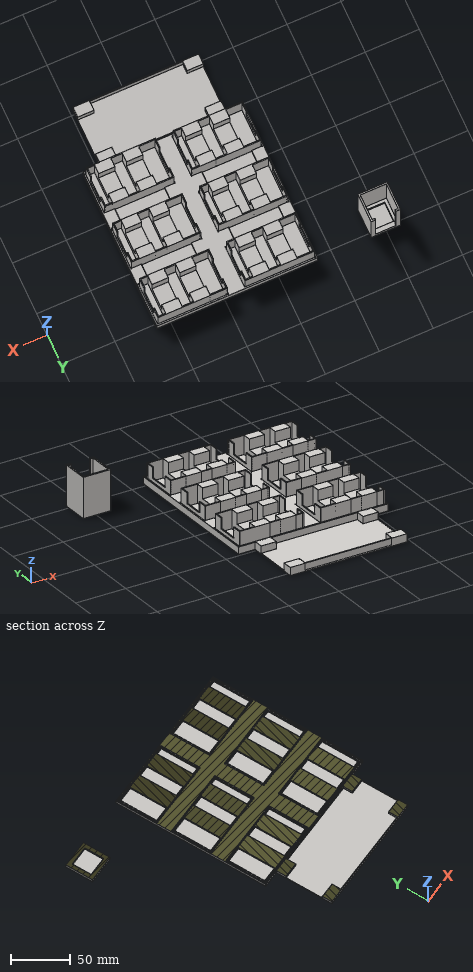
import cadquery as cq
THIN = 1.0

CAGE_WIDTH = 64.5
CAGE_DEPTH = 38.5
CAGE_TOP = 20.4
SADDLE_WIDTH = 20.0
SADDLE_LEVEL = 10.0
FIRST_WELL_WIDTH = 15.0
MIDDLE_WELL_WIDTH = 10.6
BAR_WIDTH = 15.2

COLUMNS = 2
ROWS = 3
FIT_GAP = 0.7
POCKET_SPACING = 15.0
TRAY_RIM = 1.4
TRAY_HEIGHT = 7.0
POCKET_WIDTH = CAGE_WIDTH + 2 * FIT_GAP
POCKET_DEPTH = CAGE_DEPTH + 2 * FIT_GAP
COLUMN_PITCH = POCKET_WIDTH + POCKET_SPACING
ROW_PITCH = POCKET_DEPTH + POCKET_SPACING
TRAY_WIDTH = (COLUMNS - 1) * COLUMN_PITCH + POCKET_WIDTH + 2 * TRAY_RIM
TRAY_DEPTH = (ROWS - 1) * ROW_PITCH + POCKET_DEPTH + 2 * TRAY_RIM

CHANNEL_WIDTH = 46.1
CHANNEL_DEPTH = 2.0

LID_WIDTH = 116.7
LID_DEPTH = 56.3
LID_HEIGHT = 8.0
LID_BLOCK_WIDTH = 15.2
LID_BLOCK_DEPTH = 10.0

CUP_SIZE = 27.4
CUP_HEIGHT = 39.5
CUP_WALL = 1.5
CUP_LEDGE_WIDTH = 2.7
CUP_LEDGE_LEVEL = 4.5
CUP_FLOOR = 1.8
OVERALL_WIDTH = 226.2


def block(x_min, y_min, z_min, width, depth, height):
    """Box given by its lowest corner and its sizes."""
    return cq.Workplane("XY").box(width, depth, height, centered=False).translate((x_min, y_min, z_min))


def centred_block(center, z_min, width, depth, height):
    """Box centred on an XY point and standing on z_min."""
    x, y = center
    return block(x - width / 2, y - depth / 2, z_min, width, depth, height)


def grid_positions(count, pitch):
    """Evenly spaced positions, symmetric about zero."""
    return [(index - (count - 1) / 2) * pitch for index in range(count)]


COLUMN_POSITIONS = grid_positions(COLUMNS, COLUMN_PITCH)
ROW_POSITIONS = grid_positions(ROWS, ROW_PITCH)
CAGE_CENTERS = [(x, y) for x in COLUMN_POSITIONS for y in ROW_POSITIONS]


def make_tray():
    tray = centred_block((0, 0), 0, TRAY_WIDTH, TRAY_DEPTH, TRAY_HEIGHT)
    channel_length = (ROWS - 1) * ROW_PITCH
    channel_floor = TRAY_HEIGHT - CHANNEL_DEPTH
    for x in COLUMN_POSITIONS:
        tray = tray.cut(centred_block((x, 0), channel_floor, CHANNEL_WIDTH, channel_length, CHANNEL_DEPTH))
    for center in CAGE_CENTERS:
        tray = tray.cut(centred_block(center, THIN, POCKET_WIDTH, POCKET_DEPTH, TRAY_HEIGHT - THIN))
    return tray


def make_cage(center):
    cage = centred_block(center, THIN, CAGE_WIDTH, CAGE_DEPTH, CAGE_TOP - THIN)
    cage = cage.cut(centred_block(center, SADDLE_LEVEL, CAGE_WIDTH, SADDLE_WIDTH, CAGE_TOP - SADDLE_LEVEL))
    inner_width = CAGE_WIDTH - 2 * THIN
    inner_depth = CAGE_DEPTH - 2 * THIN
    last_well_width = inner_width - FIRST_WELL_WIDTH - MIDDLE_WELL_WIDTH - 2 * BAR_WIDTH
    well_floor = 2 * THIN
    x_well = center[0] - inner_width / 2
    y_well = center[1] - inner_depth / 2
    for well_width in (FIRST_WELL_WIDTH, MIDDLE_WELL_WIDTH, last_well_width):
        cage = cage.cut(block(x_well, y_well, well_floor, well_width, inner_depth, CAGE_TOP - well_floor))
        x_well += well_width + BAR_WIDTH
    return cage


def make_lid():
    center = (0, -(TRAY_DEPTH + LID_DEPTH) / 2)
    lid = centred_block(center, 0, LID_WIDTH, LID_DEPTH, LID_HEIGHT)
    recess_height = LID_HEIGHT - THIN
    rail_length = LID_WIDTH - 2 * LID_BLOCK_WIDTH
    lid = lid.cut(centred_block(center, THIN, rail_length, LID_DEPTH - 2 * THIN, recess_height))
    block_gap = LID_DEPTH - 2 * LID_BLOCK_DEPTH
    return lid.cut(centred_block(center, THIN, LID_WIDTH, block_gap, recess_height))


def make_cup():
    x = TRAY_WIDTH / 2 - OVERALL_WIDTH + CUP_SIZE / 2
    y = TRAY_DEPTH / 2 - CUP_SIZE / 2
    cavity_size = CUP_SIZE - 2 * CUP_WALL
    recess_size = cavity_size - 2 * CUP_LEDGE_WIDTH
    cavity_height = CUP_HEIGHT - CUP_LEDGE_LEVEL
    cup = centred_block((x, y), 0, CUP_SIZE, CUP_SIZE, CUP_HEIGHT)
    cup = cup.cut(centred_block((x, y), CUP_LEDGE_LEVEL, cavity_size, cavity_size, cavity_height))
    cup = cup.cut(centred_block((x, y), CUP_FLOOR, recess_size, recess_size, CUP_LEDGE_LEVEL - CUP_FLOOR))
    return cup.cut(block(x - recess_size / 2, y, CUP_LEDGE_LEVEL, recess_size, CUP_SIZE / 2, cavity_height))


tray = make_tray()
cages = [make_cage(center) for center in CAGE_CENTERS]
lid = make_lid()
cup = make_cup()

result = cq.Compound.makeCompound([tray.val(), lid.val(), cup.val(), *[cage.val() for cage in cages]])